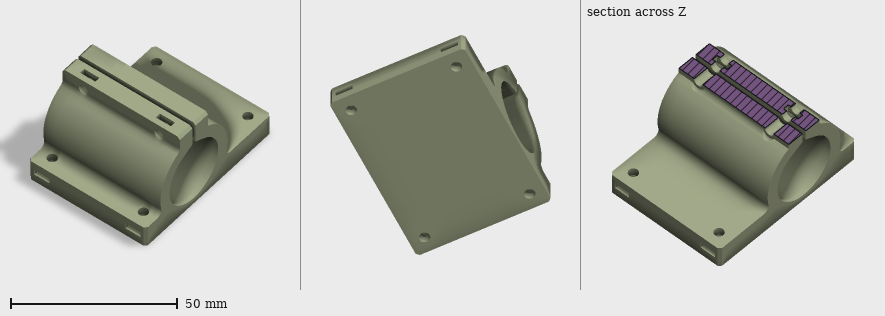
import cadquery as cq
import math

LENGTH = 45.0
BASE_WIDTH = 60.0
BASE_HEIGHT = 8.0
CORNER_CHAMFER = 0.95

RING_Y = -7.0
RING_Z = 14.0
BORE_RADIUS = 11.65
RING_RADIUS = 16.0
FILLET_RADIUS = 2.0

TOTAL_HEIGHT = 34.5
EAR_HEIGHT = 8.0
EAR_THICKNESS = 6.0
SLIT_WIDTH = 1.5

SCREW_DIAMETER = 3.4
HEAD_DIAMETER = 5.75
NUT_WIDTH = 5.8
NUT_THICKNESS = 2.0
MOUNT_INSET = 5.0
CLAMP_SCREW_INSET = 8.0
CLAMP_SCREW_DROP = 4.0

ear_outer = SLIT_WIDTH / 2 + EAR_THICKNESS
front_ear_y = RING_Y - ear_outer
back_ear_y = RING_Y + ear_outer
clamp_screw_x = LENGTH / 2 - CLAMP_SCREW_INSET
clamp_screw_z = TOTAL_HEIGHT - CLAMP_SCREW_DROP
mount_x = LENGTH / 2 - MOUNT_INSET
mount_y = BASE_WIDTH / 2 - MOUNT_INSET


def box(x_size, y_size, z_size, center):
    return cq.Workplane("XY").box(x_size, y_size, z_size).translate(center)


def make_base():
    base = box(LENGTH, BASE_WIDTH, BASE_HEIGHT, (0, 0, BASE_HEIGHT / 2))
    return base.edges("|Z").chamfer(CORNER_CHAMFER)


def make_ring():
    """Solid cylinder of the ring, without the part that would hang below the base."""
    upper_height = TOTAL_HEIGHT - BASE_HEIGHT / 2
    keep = box(LENGTH, BASE_WIDTH, upper_height, (0, 0, TOTAL_HEIGHT - upper_height / 2))
    outline = cq.Workplane("YZ").center(RING_Y, RING_Z).circle(RING_RADIUS)
    return outline.extrude(LENGTH / 2, both=True).intersect(keep)


def make_ears():
    """Solid block that the slit later splits into two ears."""
    height = TOTAL_HEIGHT - RING_Z
    block = box(LENGTH, 2 * ear_outer, height, (0, RING_Y, TOTAL_HEIGHT - height / 2))
    return block.edges("|Y and >Z").chamfer(CORNER_CHAMFER)


def make_bore():
    """Bore whose walls leave the circle on tangents that end at the foot of the slit."""
    tip_y = SLIT_WIDTH / 2
    tip_z = TOTAL_HEIGHT - EAR_HEIGHT - RING_Z
    angle = math.atan2(tip_y, tip_z) + math.acos(BORE_RADIUS / math.hypot(tip_y, tip_z))
    side_y = BORE_RADIUS * math.sin(angle)
    side_z = BORE_RADIUS * math.cos(angle)
    return (
        cq.Workplane("YZ")
        .center(RING_Y, RING_Z)
        .moveTo(-tip_y, tip_z)
        .lineTo(-side_y, side_z)
        .threePointArc((0, -BORE_RADIUS), (side_y, side_z))
        .lineTo(tip_y, tip_z)
        .close()
        .extrude(LENGTH / 2, both=True)
    )


def make_slit():
    height = TOTAL_HEIGHT - RING_Z
    return box(LENGTH, SLIT_WIDTH, height, (0, RING_Y, TOTAL_HEIGHT - height / 2))


def clamp_screw_cylinder(x, diameter, y_start, y_end):
    start = cq.Vector(x, y_start, clamp_screw_z)
    solid = cq.Solid.makeCylinder(diameter / 2, y_end - y_start, start, cq.Vector(0, 1, 0))
    return cq.Workplane(solid)


def cut_clamp_screws(body):
    """Screws across the slit: heads sit on the back ear, nuts drop into the front ear."""
    slot_depth = CLAMP_SCREW_DROP + NUT_WIDTH / 2
    slot_y = RING_Y - SLIT_WIDTH / 2 - EAR_THICKNESS / 2
    for x in (-clamp_screw_x, clamp_screw_x):
        body = body.cut(clamp_screw_cylinder(x, SCREW_DIAMETER, -BASE_WIDTH / 2, BASE_WIDTH / 2))
        body = body.cut(clamp_screw_cylinder(x, HEAD_DIAMETER, back_ear_y, BASE_WIDTH / 2))
        slot_center = (x, slot_y, TOTAL_HEIGHT - slot_depth / 2)
        body = body.cut(box(NUT_WIDTH, NUT_THICKNESS, slot_depth, slot_center))
    return body


def cut_mount_screws(body):
    """Upright screws through the base, each with a nut slot open to the nearest long edge."""
    slot_depth = MOUNT_INSET + NUT_WIDTH / 2
    slot_y = BASE_WIDTH / 2 - slot_depth / 2
    for x in (-mount_x, mount_x):
        for side in (-1, 1):
            hole = cq.Workplane("XY").center(x, side * mount_y)
            body = body.cut(hole.circle(SCREW_DIAMETER / 2).extrude(TOTAL_HEIGHT))
            slot_center = (x, side * slot_y, BASE_HEIGHT / 2)
            body = body.cut(box(NUT_WIDTH, slot_depth, NUT_THICKNESS, slot_center))
    return body


def edges_along_x(body, y, z):
    """Edges parallel to X whose middle lies at the given Y and Z."""
    tolerance = 0.05
    center = cq.Vector(0, y, z)
    half = cq.Vector(LENGTH, tolerance, tolerance)
    return body.edges("|X").edges(cq.selectors.BoxSelector(center - half, center + half))


def fillet_ring(body):
    """Round the inner corners where the ring meets the base and the ears.

    Behind the back ear only the stretch between the two screw heads is rounded.
    """
    foot = math.sqrt(RING_RADIUS**2 - (RING_Z - BASE_HEIGHT) ** 2)
    ear_z = RING_Z + math.sqrt(RING_RADIUS**2 - ear_outer**2)
    for y, z in ((RING_Y - foot, BASE_HEIGHT), (RING_Y + foot, BASE_HEIGHT), (front_ear_y, ear_z)):
        body = edges_along_x(body, y, z).fillet(FILLET_RADIUS)
    middle = cq.selectors.NearestToPointSelector((0, back_ear_y, ear_z))
    return edges_along_x(body, back_ear_y, ear_z).edges(middle).fillet(FILLET_RADIUS)


body = make_base().union(make_ring()).union(make_ears())
body = body.cut(make_bore()).cut(make_slit())
body = cut_clamp_screws(body)
body = cut_mount_screws(body)
result = fillet_ring(body)